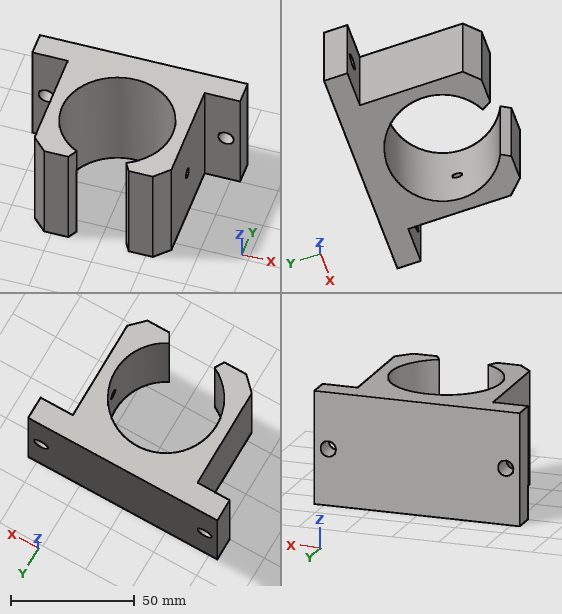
import cadquery as cq
import math

plate_width = 88.0
plate_thickness = 10.0
height = 48.0
depth = 60.0

body_width = 58.0
corner_chamfer = 6.0
bore_diameter = 47.0
bore_to_back = 35.0
mouth_width = 25.5
mouth_half_angle = 30.0

screw_diameter = 6.5
screw_edge_distance = 6.0
side_hole_diameter = 4.05
side_hole_offset = 2.0

back_y = bore_to_back
front_y = back_y - depth
plate_front_y = back_y - plate_thickness
mid_height = height / 2


def make_plate():
    return cq.Workplane("XY").box(
        plate_width, plate_thickness, height, centered=(True, False, False)
    ).translate((0, plate_front_y, 0))


def make_body():
    body = cq.Workplane("XY").box(body_width, depth, height, centered=(True, False, False))
    return body.translate((0, front_y, 0)).faces("<Y").edges("|Z").chamfer(corner_chamfer)


def make_bore():
    return cq.Workplane("XY").circle(bore_diameter / 2).extrude(height)


def make_mouth():
    """Wedge that narrows from the front face to a point inside the bore."""
    half_width = mouth_width / 2
    apex_y = front_y + half_width / math.tan(math.radians(mouth_half_angle))
    outline = [(0, apex_y), (-half_width, front_y), (half_width, front_y)]
    return cq.Workplane("XY").polyline(outline).close().extrude(height)


def make_screw_holes():
    screw_x = plate_width / 2 - screw_edge_distance
    return (
        cq.Workplane("XZ", origin=(0, back_y, 0))
        .pushPoints([(-screw_x, mid_height), (screw_x, mid_height)])
        .circle(screw_diameter / 2)
        .extrude(plate_thickness)
    )


def make_side_hole():
    """Cross hole from the bore through the +X wall only."""
    return (
        cq.Workplane("YZ")
        .center(side_hole_offset, mid_height)
        .circle(side_hole_diameter / 2)
        .extrude(body_width / 2)
    )


result = make_plate().union(make_body())
result = result.cut(make_bore()).cut(make_mouth())
result = result.cut(make_screw_holes()).cut(make_side_hole())